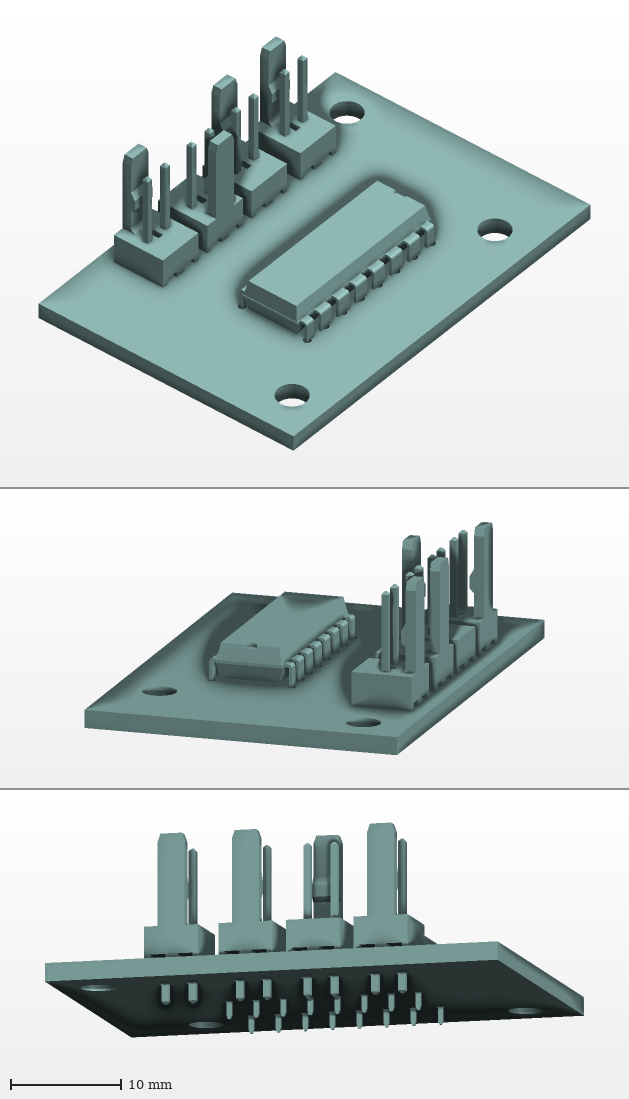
import cadquery as cq


board_length_x = 29.84
board_length_y = 42.55
board_thickness = 1.7
mounting_hole_diameter = 3.2
mounting_hole_centers = [(4.46, 38.74), (25.4, 34.3), (26.04, 4.45)]
header_hole_diameter = 1.19
chip_hole_diameter = 0.8

pin_pitch = 2.54
header_x = 4.43
header_placements = [
    (31.11, 0),
    (24.13, 0),
    (17.78, 180),
    (11.42, 0),
]
header_depth = 5.75
header_width = 2 * pin_pitch
header_base_height = 3.2
header_height = 11.7
channel_width = 1.45
channel_height = 0.6
slot_length = 1.1
slot_width = 0.65

tongue_thickness = 0.97
tongue_width = 2.54
tongue_tip_width = 2.0
tongue_tip_height = 0.75
catch_reach = 0.45
catch_bottom = 5.55
catch_top = 7.85
catch_lower_rise = 0.45
catch_upper_rise = 0.75
root_fillet_radius = 0.6

pin_side = 0.64
pin_top = 10.68
pin_bottom = -3.56
pin_tip_side = 0.2
pin_tip_length = 0.25

chip_x = 18.34
chip_y = 20.28
chip_row_spacing = 7.62
leads_per_row = 8
lead_pitch = 2.54
chip_width = 6.35
chip_length = 19.2
chip_draft_inset = 0.38
seam_ledge = 0.06
chip_bottom = 0.4
chip_top = 3.7
lead_thickness = 0.28
lead_top = 2.13
lead_bottom = -3.3
lead_bend_radius = 0.32
shoulder_width = 1.55
shank_width = 0.47
shank_tip_inset = 0.13
shank_tip_length = 0.35
notch_radius = 0.65
notch_depth = 0.3


def header_pin_ys():
    return (-pin_pitch / 2, pin_pitch / 2)


def chip_lead_ys():
    first = -(leads_per_row - 1) * lead_pitch / 2
    return [first + i * lead_pitch for i in range(leads_per_row)]


def make_board():
    board = cq.Workplane("XY").box(
        board_length_x, board_length_y, board_thickness, centered=False
    )
    board = board.translate((0, 0, -board_thickness))
    header_holes = [(header_x, y + dy) for y, _ in header_placements for dy in header_pin_ys()]
    chip_holes = [
        (chip_x + side * chip_row_spacing / 2, chip_y + dy)
        for side in (-1, 1)
        for dy in chip_lead_ys()
    ]
    for diameter, centers in (
        (mounting_hole_diameter, mounting_hole_centers),
        (header_hole_diameter, header_holes),
        (chip_hole_diameter, chip_holes),
    ):
        drills = (
            cq.Workplane("XY")
            .pushPoints(centers)
            .circle(diameter / 2)
            .extrude(-board_thickness)
        )
        board = board.cut(drills)
    return board


def make_tongue():
    """Latch tongue on the -X side of a header, with its catch and the concave fillet at its root."""
    back = -header_depth / 2
    face = back + tongue_thickness
    side_profile = (
        cq.Workplane("XZ")
        .moveTo(back, header_base_height)
        .lineTo(face + root_fillet_radius, header_base_height)
        .radiusArc((face, header_base_height + root_fillet_radius), root_fillet_radius)
        .lineTo(face, catch_bottom)
        .lineTo(face + catch_reach, catch_bottom + catch_lower_rise)
        .lineTo(face + catch_reach, catch_top - catch_upper_rise)
        .lineTo(face, catch_top)
        .lineTo(face, header_height)
        .lineTo(back, header_height)
        .close()
        .extrude(tongue_width / 2, both=True)
    )
    front_outline = (
        cq.Workplane("YZ")
        .moveTo(-tongue_width / 2, header_base_height)
        .lineTo(tongue_width / 2, header_base_height)
        .lineTo(tongue_width / 2, header_height - tongue_tip_height)
        .lineTo(tongue_tip_width / 2, header_height)
        .lineTo(-tongue_tip_width / 2, header_height)
        .lineTo(-tongue_width / 2, header_height - tongue_tip_height)
        .close()
        .extrude(header_depth, both=True)
    )
    return side_profile.intersect(front_outline)


def make_pin():
    """Square pin with a tapered tip at both ends."""
    shaft_bottom = pin_bottom + pin_tip_length
    shaft_top = pin_top - pin_tip_length
    shaft = (
        cq.Workplane("XY", origin=(0, 0, shaft_bottom))
        .rect(pin_side, pin_side)
        .extrude(shaft_top - shaft_bottom)
    )
    for start, end in ((shaft_top, pin_top), (shaft_bottom, pin_bottom)):
        tip = (
            cq.Workplane("XY", origin=(0, 0, start))
            .rect(pin_side, pin_side)
            .workplane(offset=end - start)
            .rect(pin_tip_side, pin_tip_side)
            .loft()
        )
        shaft = shaft.union(tip)
    return shaft


def make_header(center_y, turn):
    header = cq.Workplane("XY").rect(header_depth, header_width).extrude(header_base_height)
    slot = cq.Workplane("XY").rect(slot_length, slot_width).extrude(header_base_height)
    header = header.cut(slot)
    for pin_y in header_pin_ys():
        channel = (
            cq.Workplane("XY")
            .center(0, pin_y)
            .rect(header_depth, channel_width)
            .extrude(channel_height)
        )
        header = header.cut(channel)
    header = header.union(make_tongue())
    for pin_y in header_pin_ys():
        header = header.union(make_pin().translate((0, pin_y, 0)))
    return header.rotate((0, 0, 0), (0, 0, 1), turn).translate((header_x, center_y, 0))


def make_chip_half(seam_z, face_z, ledge):
    """Drafted half of the chip package, from its seam to its top or bottom face.

    The half starts inside the seam band by the ledge width.
    """
    return (
        cq.Workplane("XY", origin=(0, 0, seam_z))
        .rect(chip_width - 2 * ledge, chip_length - 2 * ledge)
        .workplane(offset=face_z - seam_z)
        .rect(chip_width - 2 * chip_draft_inset, chip_length - 2 * chip_draft_inset)
        .loft()
    )


def make_chip_lead(lead_y):
    """Bent lead on the +X side: a broad shoulder on the board, a narrow shank through it."""
    outer_x = (chip_row_spacing + lead_thickness) / 2
    inner_x = outer_x - lead_thickness
    root_x = chip_width / 2 - lead_thickness
    bent_strip = (
        cq.Workplane("XZ")
        .moveTo(root_x, lead_top)
        .lineTo(outer_x - lead_bend_radius, lead_top)
        .radiusArc((outer_x, lead_top - lead_bend_radius), lead_bend_radius)
        .lineTo(outer_x, lead_bottom)
        .lineTo(inner_x, lead_bottom)
        .lineTo(inner_x, lead_top - lead_bend_radius)
        .radiusArc(
            (outer_x - lead_bend_radius, lead_top - lead_thickness),
            -(lead_bend_radius - lead_thickness),
        )
        .lineTo(root_x, lead_top - lead_thickness)
        .close()
        .extrude(chip_length, both=True)
    )
    last_y = max(chip_lead_ys())
    shoulder_low = max(lead_y - shoulder_width / 2, -last_y - shank_width / 2)
    shoulder_high = min(lead_y + shoulder_width / 2, last_y + shank_width / 2)
    shank_low = lead_y - shank_width / 2
    shank_high = lead_y + shank_width / 2
    shoulder = cq.Workplane("XY").box(
        outer_x, shoulder_high - shoulder_low, lead_top, centered=False
    )
    shoulder = shoulder.translate((0, shoulder_low, 0))
    shank = (
        cq.Workplane("YZ")
        .moveTo(shank_low, 0)
        .lineTo(shank_low, lead_bottom + shank_tip_length)
        .lineTo(shank_low + shank_tip_inset, lead_bottom)
        .lineTo(shank_high - shank_tip_inset, lead_bottom)
        .lineTo(shank_high, lead_bottom + shank_tip_length)
        .lineTo(shank_high, 0)
        .close()
        .extrude(outer_x)
    )
    return bent_strip.intersect(shoulder.union(shank))


def make_chip():
    lead_underside = lead_top - lead_thickness
    seam_band = (
        cq.Workplane("XY", origin=(0, 0, lead_underside))
        .rect(chip_width, chip_length)
        .extrude(lead_thickness)
    )
    chip = (
        seam_band
        .union(make_chip_half(lead_top, chip_top, seam_ledge))
        .union(make_chip_half(lead_underside, chip_bottom, 0))
    )
    notch = (
        cq.Workplane("XY", origin=(0, chip_length / 2 - chip_draft_inset, chip_top))
        .circle(notch_radius)
        .extrude(-notch_depth)
    )
    chip = chip.cut(notch)
    for lead_y in chip_lead_ys():
        lead = make_chip_lead(lead_y)
        chip = chip.union(lead).union(lead.mirror("YZ"))
    return chip.translate((chip_x, chip_y, 0))


board = make_board()
headers = [make_header(center_y, turn) for center_y, turn in header_placements]
chip = make_chip()

result = cq.Compound.makeCompound(
    [board.val(), *[header.val() for header in headers], chip.val()]
)